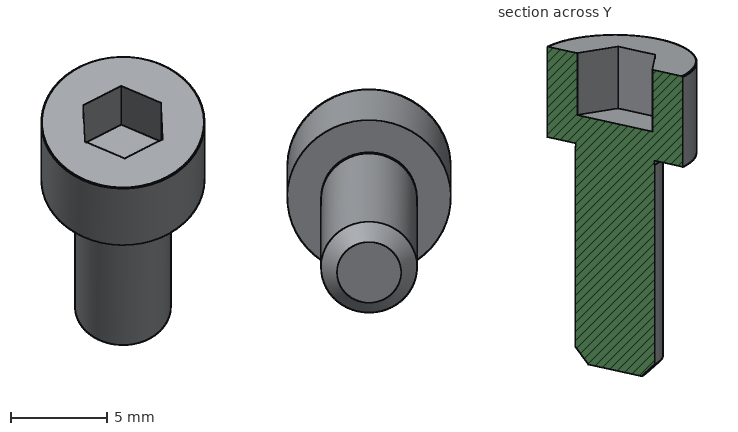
import cadquery as cq
import math

total_length = 17.0
head_diameter = 8.5
shank_diameter = 5.0
head_height = shank_diameter
head_edge_chamfer = 0.05
neck_length = 0.2
neck_diameter = 4.96
tip_chamfer = 0.83
socket_across_flats = 4.05
socket_depth = 3.4

shank_length = total_length - head_height


def make_head():
    head = cq.Workplane("XY").circle(head_diameter / 2).extrude(head_height)
    return head.faces(">Z").edges().chamfer(head_edge_chamfer)


def make_shank():
    """Neck under the head, followed by the shank with a chamfered tip."""
    neck = cq.Workplane("XY").circle(neck_diameter / 2).extrude(-neck_length)
    shank = (
        cq.Workplane("XY")
        .workplane(offset=-shank_length)
        .circle(shank_diameter / 2)
        .extrude(shank_length - neck_length)
        .faces("<Z")
        .edges()
        .chamfer(tip_chamfer)
    )
    return neck.union(shank)


def make_socket():
    """Hexagonal key socket with two corners on the X axis."""
    across_corners = socket_across_flats / math.cos(math.pi / 6)
    return (
        cq.Workplane("XY")
        .workplane(offset=head_height)
        .polygon(6, across_corners)
        .extrude(-socket_depth)
    )


result = make_head().union(make_shank()).cut(make_socket())